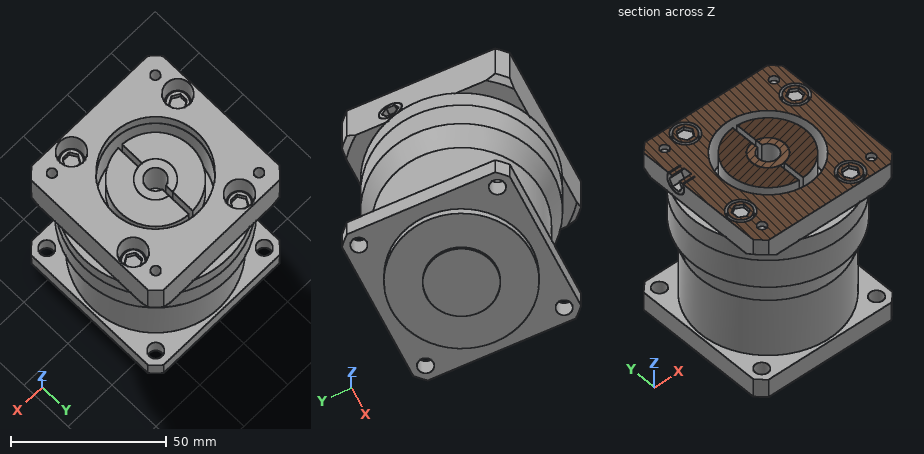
import cadquery as cq
import math

QUARTER_TURN = 90.0

TOTAL_HEIGHT = 85.0
OUTPUT_DISC_HEIGHT = 1.0
FLANGE_BOTTOM = 4.0
FLANGE_TOP = 12.0
TAPER_BOTTOM = 37.0
TAPER_TOP = 46.4
HOUSING_TOP = 58.6
BLOCK_BOTTOM = 66.5

SQUARE_SIDE = 60.0
CORNER_DIAMETER = 80.0
DIAGONAL = 45.0
BLOCK_CORNER_CHAMFER = 2.0

HEAD_DIAMETER = 65.0
BARREL_DIAMETER = 58.0
PILOT_DIAMETER = 50.0
OUTPUT_DISC_DIAMETER = 25.0
FLANGE_HOLE_DIAMETER = 5.5
FLANGE_HOLE_CIRCLE = 69.95

SHAFT_DIAMETER = 14.0
SHAFT_BORE = 8.0
SHOULDER_DIAMETER = 20.0
SLOT_WIDTH = 1.7

COLLAR_DIAMETER = 32.1
COLLAR_TOP = 78.7
COLLAR_HEIGHT = 11.9
COLLAR_BOTTOM = COLLAR_TOP - COLLAR_HEIGHT
COLLAR_WEB_HEIGHT = 1.7

OPENING_DIAMETER = 38.25
REGISTER_DIAMETER = 38.3

MOTOR_HOLE_DIAMETER = 3.4
MOTOR_HOLE_CIRCLE = 66.6
MOTOR_HOLE_DEPTH = 11.9
DRILL_POINT_ANGLE = 118.0

SCREW_CIRCLE = 55.9
SCREW_FIRST_ANGLE = 30.0
COUNTERBORE_DIAMETER = 10.2
COUNTERBORE_DEPTH = 13.6
SCREW_HEAD_DIAMETER = 8.5
SCREW_HEAD_HEIGHT = 5.0
SCREW_HEAD_CHAMFER = 0.4
SCREW_SOCKET_DEPTH = 2.55
HEX_FLATS = 5.2

PLUG_Y = 11.0
PLUG_Z = 72.9
PLUG_DIAMETER = 8.0
PLUG_GAP = 0.2
PLUG_GAP_DEPTH = 5.1
PLUG_SOCKET_DEPTH = 5.1


def cylinder(diameter, bottom, top):
    return cq.Workplane("XY").workplane(offset=bottom).circle(diameter / 2).extrude(top - bottom)


def square_plate(bottom, top):
    """Square plate whose corners are turned down to a common diameter."""
    base = cq.Workplane("XY").workplane(offset=bottom)
    square = base.rect(SQUARE_SIDE, SQUARE_SIDE).extrude(top - bottom)
    return square.intersect(cylinder(CORNER_DIAMETER, bottom, top))


def circle_points(circle_diameter, first_angle):
    """Four points a quarter turn apart on a circle around the main axis."""
    radius = circle_diameter / 2
    angles = [math.radians(first_angle + QUARTER_TURN * i) for i in range(4)]
    return [(radius * math.cos(a), radius * math.sin(a)) for a in angles]


def hex_diameter(flats):
    """Corner-to-corner size of a hexagon, from its size across flats."""
    return flats / math.cos(math.pi / 6)


def slot(y_start, y_end, bottom, top):
    """Box of the slot width, centred on X = 0."""
    box = cq.Workplane("XY").box(SLOT_WIDTH, y_end - y_start, top - bottom, centered=(True, False, False))
    return box.translate((0, y_start, bottom))


def make_housing():
    profile = [
        (0, FLANGE_BOTTOM),
        (BARREL_DIAMETER / 2, FLANGE_BOTTOM),
        (BARREL_DIAMETER / 2, TAPER_BOTTOM),
        (HEAD_DIAMETER / 2, TAPER_TOP),
        (HEAD_DIAMETER / 2, HOUSING_TOP),
        (0, HOUSING_TOP),
    ]
    housing = cq.Workplane("XZ").polyline(profile).close().revolve(360, (0, 0), (0, 1))

    flange_holes = (
        cq.Workplane("XY")
        .workplane(offset=FLANGE_BOTTOM)
        .pushPoints(circle_points(FLANGE_HOLE_CIRCLE, DIAGONAL))
        .circle(FLANGE_HOLE_DIAMETER / 2)
        .extrude(FLANGE_TOP - FLANGE_BOTTOM)
    )
    housing = housing.union(square_plate(FLANGE_BOTTOM, FLANGE_TOP).cut(flange_holes))

    housing = housing.union(cylinder(PILOT_DIAMETER, OUTPUT_DISC_HEIGHT, FLANGE_BOTTOM))
    housing = housing.union(cylinder(OUTPUT_DISC_DIAMETER, 0, OUTPUT_DISC_HEIGHT))

    shaft = cylinder(SHOULDER_DIAMETER, HOUSING_TOP, COLLAR_BOTTOM)
    shaft = shaft.union(cylinder(SHAFT_DIAMETER, COLLAR_BOTTOM, COLLAR_TOP))
    shaft = shaft.cut(cylinder(SHAFT_BORE, HOUSING_TOP, COLLAR_TOP))
    shaft = shaft.cut(slot(0, SHAFT_DIAMETER / 2, HOUSING_TOP, COLLAR_TOP))
    return housing.union(shaft)


def make_collar():
    """Ring split on both sides, its halves joined by a low web at the inner end of the -Y slot."""
    collar = cylinder(COLLAR_DIAMETER, COLLAR_BOTTOM, COLLAR_TOP)
    collar = collar.cut(cylinder(SHAFT_DIAMETER, COLLAR_BOTTOM, COLLAR_TOP))
    collar = collar.cut(slot(0, COLLAR_DIAMETER / 2, COLLAR_BOTTOM, COLLAR_TOP))
    web_top = COLLAR_BOTTOM + COLLAR_WEB_HEIGHT
    collar = collar.cut(slot(-COLLAR_DIAMETER / 2, 0, web_top, COLLAR_TOP))
    return collar.cut(slot(-COLLAR_DIAMETER / 2, -SHOULDER_DIAMETER / 2, COLLAR_BOTTOM, COLLAR_TOP))


def motor_hole():
    """Drilled hole with a conical end, as a solid whose mouth is at the origin."""
    radius = MOTOR_HOLE_DIAMETER / 2
    point_length = radius / math.tan(math.radians(DRILL_POINT_ANGLE / 2))
    profile = [
        (0, 0),
        (radius, 0),
        (radius, -MOTOR_HOLE_DEPTH),
        (0, -MOTOR_HOLE_DEPTH - point_length),
    ]
    return cq.Workplane("XZ").polyline(profile).close().revolve(360, (0, 0), (0, 1))


def screw_head():
    """Socket head standing on the XY plane, with two hexagon corners along X."""
    head = cylinder(SCREW_HEAD_DIAMETER, 0, SCREW_HEAD_HEIGHT).faces(">Z").chamfer(SCREW_HEAD_CHAMFER)
    return head.faces(">Z").workplane().polygon(6, hex_diameter(HEX_FLATS)).cutBlind(-SCREW_SOCKET_DEPTH)


def make_adapter():
    bevel = cylinder(CORNER_DIAMETER, BLOCK_BOTTOM, TOTAL_HEIGHT).faces("<Z").chamfer(BLOCK_CORNER_CHAMFER)
    adapter = square_plate(BLOCK_BOTTOM, TOTAL_HEIGHT).intersect(bevel)
    adapter = adapter.union(cylinder(HEAD_DIAMETER, HOUSING_TOP, BLOCK_BOTTOM))

    adapter = adapter.cut(cylinder(OPENING_DIAMETER, HOUSING_TOP, TOTAL_HEIGHT))
    adapter = adapter.cut(cylinder(REGISTER_DIAMETER, COLLAR_TOP, TOTAL_HEIGHT))

    for x, y in circle_points(MOTOR_HOLE_CIRCLE, DIAGONAL):
        adapter = adapter.cut(motor_hole().translate((x, y, TOTAL_HEIGHT)))

    floor = TOTAL_HEIGHT - COUNTERBORE_DEPTH
    counterbore = cylinder(COUNTERBORE_DIAMETER, floor, TOTAL_HEIGHT)
    for i, (x, y) in enumerate(circle_points(SCREW_CIRCLE, SCREW_FIRST_ANGLE)):
        head = screw_head().rotate((0, 0, 0), (0, 0, 1), QUARTER_TURN * (i + 1))
        adapter = adapter.cut(counterbore.translate((x, y, 0)))
        adapter = adapter.union(head.translate((x, y, floor)))

    side = cq.Workplane("YZ", origin=(-SQUARE_SIDE / 2, PLUG_Y, PLUG_Z))
    groove = side.circle(PLUG_DIAMETER / 2 + PLUG_GAP).circle(PLUG_DIAMETER / 2).extrude(PLUG_GAP_DEPTH)
    socket = side.polygon(6, hex_diameter(HEX_FLATS)).extrude(PLUG_SOCKET_DEPTH)
    return adapter.cut(groove).cut(socket)


housing = make_housing()
adapter = make_adapter()
collar = make_collar()
result = cq.Compound.makeCompound([housing.val(), adapter.val(), collar.val()])